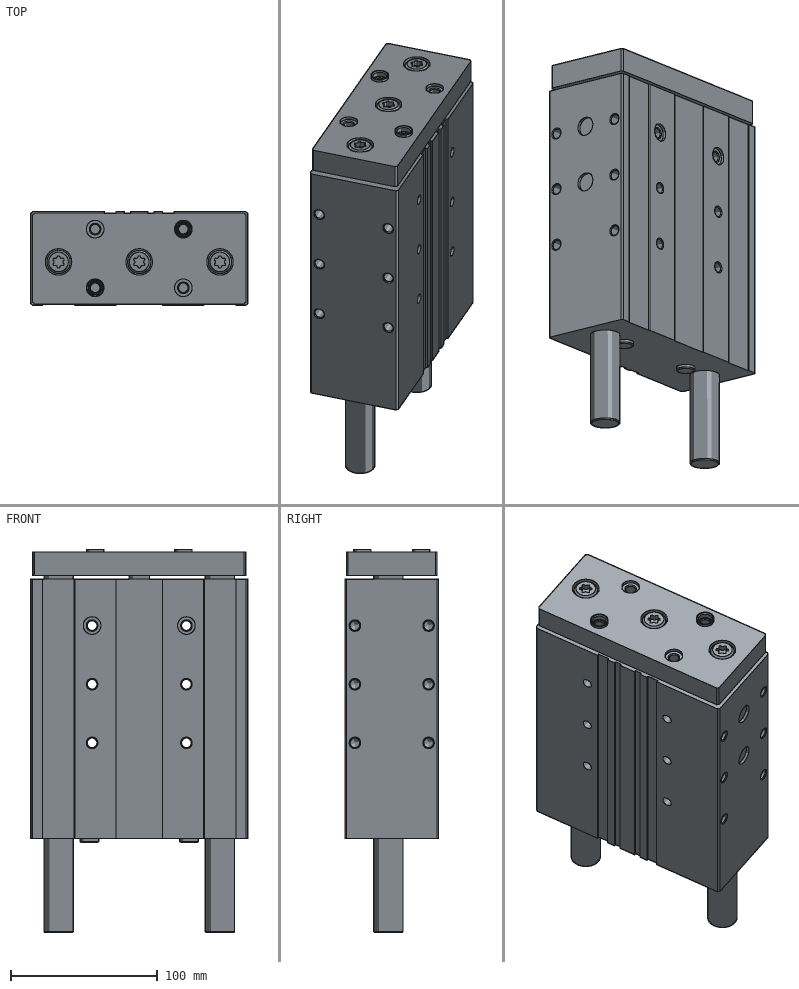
import cadquery as cq
import math


HOUSING_WIDTH = 148.0
HOUSING_DEPTH = 64.0
HOUSING_LENGTH = 177.0
HOUSING_BOTTOM = 64.0
HOUSING_TOP = HOUSING_BOTTOM + HOUSING_LENGTH
HOUSING_CORNER = 1.3
FRONT_Y = -HOUSING_DEPTH / 2
BACK_Y = HOUSING_DEPTH / 2
SIDE_X = HOUSING_WIDTH / 2

GROOVE_DEPTH = 0.5
CENTER_GROOVE_WIDTH = 31.5
OUTER_GROOVE_INNER_X = 43.6
OUTER_GROOVE_OUTER_X = 65.8
GROOVE_SLOPE = 0.8
BACK_RECESS_DEPTH = 1.3
BACK_RECESS_WIDTH = 47.5
BACK_CENTER_RIB_WIDTH = 11.8
BACK_SIDE_RIB_WIDTH = 5.7
BACK_SIDE_RIB_X = 13.0

HOLE_PITCH = 40.0
TOP_HOLE_INSET = 31.5
TOP_HOLE_Z = HOUSING_TOP - TOP_HOLE_INSET
HOLE_LEVELS = [TOP_HOLE_Z - i * HOLE_PITCH for i in range(3)]
THREAD_HOLE_DIAMETER = 6.5
THREAD_CHAMFER = 0.65
FRONT_HOLE_X = 32.1
SLEEVE_DIAMETER = 12.0
SLEEVE_SEAT_DEPTH = 2.0
SIDE_HOLE_Y = 25.0
SIDE_HOLE_DEPTH = 13.0
DRILL_POINT_ANGLE = 118
PORT_DIAMETER = 12.8
PORT_DEPTH = 2.0

BUFFER_X = 34.0
BUFFER_DIAMETER = 12.8
BUFFER_HEIGHT = 2.5
BUFFER_CHAMFER = 0.8

ROD_Y = -2.4
GUIDE_ROD_PITCH = 110.0
GUIDE_ROD_X = GUIDE_ROD_PITCH / 2
GUIDE_ROD_DIAMETER = 20.0
GUIDE_ROD_CHAMFER = 0.8
PISTON_ROD_DIAMETER = 14.0
PISTON_BORE_FLOOR = 26.0
PISTON_ROD_BOTTOM = HOUSING_BOTTOM + PISTON_BORE_FLOOR

PLATE_WIDTH = 145.3
PLATE_DEPTH = 62.0
PLATE_THICKNESS = 16.2
PLATE_GAP = 2.4
PLATE_CORNER = 1.3
PLATE_BOTTOM = HOUSING_TOP + PLATE_GAP
PLATE_TOP = PLATE_BOTTOM + PLATE_THICKNESS
PLATE_HOLE_X = 30.0
PLATE_HOLE_Y = HOLE_PITCH / 2
SLEEVE_TOP = 261.3
SLEEVE_BORE = 9.5
SLEEVE_CHAMFER = 0.8

SCREW_SEAT_DIAMETER = 18.0
SCREW_HEAD_DIAMETER = 16.0
SCREW_HEAD_HEIGHT = 10.0
SCREW_HEAD_CHAMFER = 1.3
SCREW_SHANK_DIAMETER = 10.0
SCREW_CLEARANCE_DIAMETER = 11.0
SCREW_ROD_DEPTH = 13.0
SOCKET_RADIUS = 4.2
SOCKET_ROOT_RADIUS = 3.0
SOCKET_LOBES = 6
SOCKET_DEPTH = 4.0
ROD_POSITIONS = [(x, ROD_Y) for x in (-GUIDE_ROD_X, 0, GUIDE_ROD_X)]
GUIDE_ROD_POSITIONS = [(x, ROD_Y) for x in (-GUIDE_ROD_X, GUIDE_ROD_X)]


def cylinder(diameter, bottom, top, x=0, y=0):
    """Upright cylinder between two heights."""
    return cq.Workplane("XY", origin=(x, y, bottom)).circle(diameter / 2).extrude(top - bottom)


def revolve_profile(points, start, direction):
    """Solid turned from (radius, distance) points about an axis through start."""
    turned = cq.Workplane("XZ").polyline(points).close().revolve(360, (0, 0), (0, 1))
    axis = cq.Plane(origin=start, normal=direction)
    return cq.Workplane(turned.val().located(cq.Location(axis)))


def chamfered_drill(start, direction, depth):
    """Cutter for a threaded hole with a chamfered mouth and a drill point."""
    radius = THREAD_HOLE_DIAMETER / 2
    tip = radius / math.tan(math.radians(DRILL_POINT_ANGLE / 2))
    points = [
        (0, 0),
        (radius + THREAD_CHAMFER, 0),
        (radius, THREAD_CHAMFER),
        (radius, depth),
        (0, depth + tip),
    ]
    return revolve_profile(points, start, direction)


def front_groove(x_left, x_right, slope_left=0.0, slope_right=0.0):
    """Cutter for a shallow groove in the front face; either wall may slope."""
    floor_y = FRONT_Y + GROOVE_DEPTH
    return (
        cq.Workplane("XY", origin=(0, 0, HOUSING_BOTTOM))
        .polyline([
            (x_left, FRONT_Y),
            (x_right, FRONT_Y),
            (x_right - slope_right, floor_y),
            (x_left + slope_left, floor_y),
        ])
        .close()
        .extrude(HOUSING_LENGTH)
    )


def back_strip(x, width):
    """Full-length strip as deep as the recess in the back face."""
    return (
        cq.Workplane("XY", origin=(x, BACK_Y - BACK_RECESS_DEPTH / 2, HOUSING_BOTTOM))
        .rect(width, BACK_RECESS_DEPTH)
        .extrude(HOUSING_LENGTH)
    )


def make_housing():
    body = (
        cq.Workplane("XY", origin=(0, 0, HOUSING_BOTTOM))
        .rect(HOUSING_WIDTH, HOUSING_DEPTH)
        .extrude(HOUSING_LENGTH)
        .edges("|Z")
        .chamfer(HOUSING_CORNER)
    )

    body = body.cut(front_groove(-CENTER_GROOVE_WIDTH / 2, CENTER_GROOVE_WIDTH / 2))
    body = body.cut(front_groove(-OUTER_GROOVE_OUTER_X, -OUTER_GROOVE_INNER_X, slope_right=GROOVE_SLOPE))
    body = body.cut(front_groove(OUTER_GROOVE_INNER_X, OUTER_GROOVE_OUTER_X, slope_left=GROOVE_SLOPE))

    recess = back_strip(0, BACK_RECESS_WIDTH).cut(back_strip(0, BACK_CENTER_RIB_WIDTH))
    for side in (-1, 1):
        recess = recess.cut(back_strip(side * BACK_SIDE_RIB_X, BACK_SIDE_RIB_WIDTH))
    body = body.cut(recess)

    for x in (-FRONT_HOLE_X, FRONT_HOLE_X):
        for z in HOLE_LEVELS:
            seat_depth = SLEEVE_SEAT_DEPTH if z == TOP_HOLE_Z else 0
            start = (x, FRONT_Y + seat_depth, z)
            body = body.cut(chamfered_drill(start, (0, 1, 0), HOUSING_DEPTH))
        seat_plane = cq.Plane(origin=(x, FRONT_Y, TOP_HOLE_Z), normal=(0, 1, 0))
        body = body.cut(cq.Workplane(seat_plane).circle(SLEEVE_DIAMETER / 2).extrude(SLEEVE_SEAT_DEPTH))

    for side in (-1, 1):
        for y in (-SIDE_HOLE_Y, SIDE_HOLE_Y):
            for z in HOLE_LEVELS:
                start = (side * SIDE_X, y, z)
                body = body.cut(chamfered_drill(start, (-side, 0, 0), SIDE_HOLE_DEPTH))

    for z in HOLE_LEVELS[:2]:
        port_plane = cq.Plane(origin=(-SIDE_X, 0, z), normal=(1, 0, 0))
        body = body.cut(cq.Workplane(port_plane).circle(PORT_DIAMETER / 2).extrude(PORT_DEPTH))

    for x, y in GUIDE_ROD_POSITIONS:
        body = body.cut(cylinder(GUIDE_ROD_DIAMETER, HOUSING_BOTTOM, HOUSING_TOP, x, y))
    body = body.cut(cylinder(PISTON_ROD_DIAMETER, PISTON_ROD_BOTTOM, HOUSING_TOP, 0, ROD_Y))

    for x in (-BUFFER_X, BUFFER_X):
        buffer = cylinder(BUFFER_DIAMETER, HOUSING_BOTTOM - BUFFER_HEIGHT, HOUSING_BOTTOM, x, ROD_Y)
        body = body.union(buffer.faces("<Z").chamfer(BUFFER_CHAMFER))
    return body


def screw_hole(x, y):
    """Cutter for the blind hole that takes a screw shank in the top of a rod."""
    return cylinder(SCREW_SHANK_DIAMETER, PLATE_BOTTOM - SCREW_ROD_DEPTH, PLATE_BOTTOM, x, y)


def make_guide_rod(x, y):
    rod = cylinder(GUIDE_ROD_DIAMETER, 0, PLATE_BOTTOM, x, y)
    return rod.faces("<Z").chamfer(GUIDE_ROD_CHAMFER).cut(screw_hole(x, y))


def make_piston_rod():
    rod = cylinder(PISTON_ROD_DIAMETER, PISTON_ROD_BOTTOM, PLATE_BOTTOM, 0, ROD_Y)
    return rod.cut(screw_hole(0, ROD_Y))


def make_sleeve_ring(x, y, bottom):
    """Centering ring with a chamfered bore mouth."""
    ring = cylinder(SLEEVE_DIAMETER, bottom, SLEEVE_TOP, x, y)
    ring = ring.cut(cylinder(SLEEVE_BORE, bottom, SLEEVE_TOP, x, y))
    return ring.faces(">Z").edges(cq.selectors.RadiusNthSelector(0)).chamfer(SLEEVE_CHAMFER)


def make_plate():
    plate = (
        cq.Workplane("XY", origin=(0, 0, PLATE_BOTTOM))
        .rect(PLATE_WIDTH, PLATE_DEPTH)
        .extrude(PLATE_THICKNESS)
        .edges("|Z")
        .chamfer(PLATE_CORNER)
    )

    for x, y in ROD_POSITIONS:
        plate = plate.cut(cylinder(SCREW_CLEARANCE_DIAMETER, PLATE_BOTTOM, PLATE_TOP, x, y))
        plate = plate.cut(cylinder(SCREW_SEAT_DIAMETER, PLATE_TOP - SCREW_HEAD_HEIGHT, PLATE_TOP, x, y))

    seat_z = PLATE_TOP - SLEEVE_SEAT_DEPTH
    for x_side in (-1, 1):
        for y_side in (-1, 1):
            x = x_side * PLATE_HOLE_X
            y = y_side * PLATE_HOLE_Y
            plate = plate.cut(chamfered_drill((x, y, seat_z), (0, 0, -1), PLATE_THICKNESS))
            plate = plate.cut(cylinder(SLEEVE_DIAMETER, seat_z, PLATE_TOP, x, y))
            if x_side == y_side:
                plate = plate.union(make_sleeve_ring(x, y, seat_z))
    return plate


def socket_point(radius, step):
    """Point on the socket outline, in half-lobe steps from the +Y direction."""
    angle = math.pi / 2 + step * math.pi / SOCKET_LOBES
    return (radius * math.cos(angle), radius * math.sin(angle))


def make_socket(x, y, top):
    """Cutter for a six-lobe socket made of alternating convex and concave arcs."""
    flank_radius = (SOCKET_RADIUS + SOCKET_ROOT_RADIUS) / 2
    outline = cq.Workplane("XY", origin=(x, y, top)).moveTo(*socket_point(flank_radius, -0.5))
    for lobe in range(SOCKET_LOBES):
        step = 2 * lobe
        outline = outline.threePointArc(
            socket_point(SOCKET_RADIUS, step), socket_point(flank_radius, step + 0.5)
        )
        outline = outline.threePointArc(
            socket_point(SOCKET_ROOT_RADIUS, step + 1), socket_point(flank_radius, step + 1.5)
        )
    return outline.close().extrude(-SOCKET_DEPTH)


def make_screw(x, y):
    head_bottom = PLATE_TOP - SCREW_HEAD_HEIGHT
    head = cylinder(SCREW_HEAD_DIAMETER, head_bottom, PLATE_TOP, x, y).faces(">Z").chamfer(SCREW_HEAD_CHAMFER)
    shank = cylinder(SCREW_SHANK_DIAMETER, PLATE_BOTTOM - SCREW_ROD_DEPTH, head_bottom, x, y)
    return head.union(shank).cut(make_socket(x, y, PLATE_TOP))


housing = make_housing()
plate = make_plate()
piston_rod = make_piston_rod()
guide_rods = [make_guide_rod(x, y).val() for x, y in GUIDE_ROD_POSITIONS]
screws = [make_screw(x, y).val() for x, y in ROD_POSITIONS]

result = cq.Compound.makeCompound([housing.val(), plate.val(), piston_rod.val(), *guide_rods, *screws])